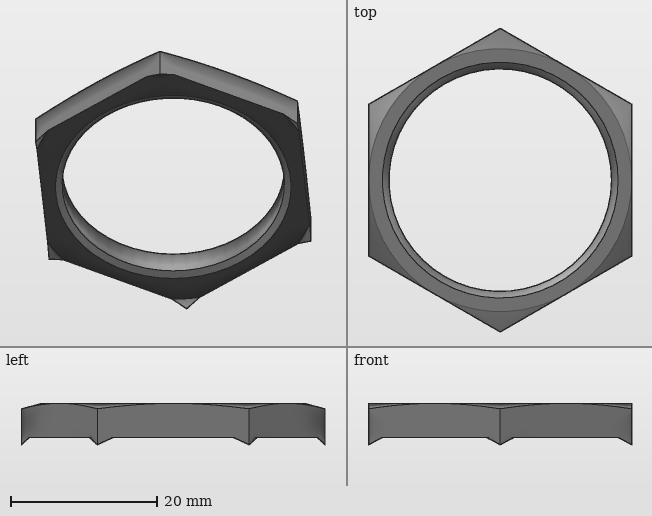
import cadquery as cq
import math

across_corners = 41.55
across_flats = across_corners * math.cos(math.radians(30))
height = 5.7
tooth_height = 1.0
bore_radius = 15.2
bore_chamfer_radius = 16.13
bore_chamfer_angle = 30.0
top_chamfer_angle = 15.0

corner_radius = across_corners / 2
flat_radius = across_flats / 2
tooth_foot_radius = corner_radius - tooth_height
bore_chamfer_depth = (bore_chamfer_radius - bore_radius) * math.tan(math.radians(bore_chamfer_angle))


def hexagonal_blank():
    return (
        cq.Workplane("XY")
        .polygon(6, across_corners)
        .extrude(height)
        .rotate((0, 0, 0), (0, 0, 1), 30)
    )


def turned_envelope():
    """Ring with a conical top edge, a bore chamfered at both ends and a hollowed underside."""
    corner_drop = (corner_radius - flat_radius) * math.tan(math.radians(top_chamfer_angle))
    profile = [
        (bore_radius, tooth_height + bore_chamfer_depth),
        (bore_chamfer_radius, tooth_height),
        (tooth_foot_radius, tooth_height),
        (corner_radius, 0),
        (corner_radius, height - corner_drop),
        (flat_radius, height),
        (bore_chamfer_radius, height),
        (bore_radius, height - bore_chamfer_depth),
    ]
    return cq.Workplane("XZ").polyline(profile).close().revolve(360, (0, 0, 0), (0, 1, 0))


result = hexagonal_blank().intersect(turned_envelope())